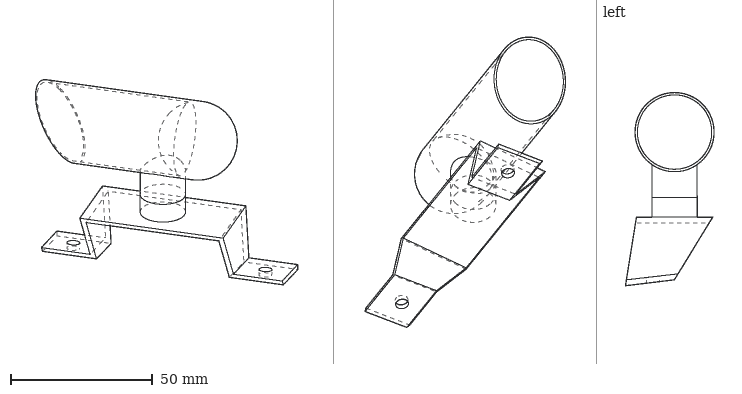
import cadquery as cq
import math


span = 89.0
foot_length = 20.0
sheet = 2.0
plate_depth = 27.0
foot_drop = 20.0
foot_front_y = -1.3
foot_back_y = 17.4
bracket_height = 24.25
foot_tilt = 6.6
foot_thickness = 2.0
hole_diameter = 4.5
hole_y = 7.8

post_diameter = 16.0
post_height = 16.0
joint_z = 7.0

tube_diameter = 28.0
bore_diameter = 26.2
tip_x = -46.0
ball_x = 12.9
mouth_angle = 30

half_span = span / 2
leg_inner_x = half_span - foot_length
leg_outer_x = leg_inner_x + sheet
plate_half = plate_depth / 2
hole_x = (leg_outer_x + half_span) / 2
foot_slope = math.tan(math.radians(foot_tilt))
tube_radius = tube_diameter / 2
tube_z = post_height + tube_radius


def foot_top_z(y):
    """Height of the sloping top face of a foot."""
    return -foot_drop - foot_slope * (y - foot_front_y)


def make_side_body():
    """Solid with the bracket's side outline, running over the full span."""
    foot_depth_z = foot_thickness / math.cos(math.radians(foot_tilt))
    front_lean = (plate_half + foot_front_y) / foot_drop
    back_bottom = (foot_back_y, -bracket_height)
    bottom_rise = foot_depth_z / (1 - foot_slope * front_lean)
    front_bottom = (foot_front_y + front_lean * bottom_rise, -foot_drop - bottom_rise)
    outline = [(-plate_half, 0), front_bottom, back_bottom, (plate_half, 0)]
    return cq.Workplane("YZ").polyline(outline).close().extrude(half_span, both=True)


def make_foot_clearance(side):
    """Space above one foot, outside its leg."""
    front, back = -2 * plate_half, 2 * plate_half
    outline = [(front, foot_top_z(front)), (back, foot_top_z(back)), (back, sheet), (front, sheet)]
    return (
        cq.Workplane("YZ", origin=(side * leg_outer_x, 0, 0))
        .polyline(outline).close().extrude(side * foot_length)
    )


def make_foot_hole(side):
    """Cutter square to one foot."""
    length = 4 * foot_thickness
    return (
        cq.Workplane("XY").circle(hole_diameter / 2).extrude(length / 2, both=True)
        .rotate((0, 0, 0), (1, 0, 0), -foot_tilt)
        .translate((side * hole_x, hole_y, foot_top_z(hole_y)))
    )


def make_bracket():
    """Hat-shaped bracket with two tilted feet and the lower post stub."""
    body = make_side_body()
    channel = cq.Workplane("XY", origin=(0, 0, -sheet)).rect(
        2 * leg_inner_x, 4 * plate_half).extrude(-bracket_height)
    body = body.cut(channel)
    for side in (-1, 1):
        body = body.cut(make_foot_clearance(side)).cut(make_foot_hole(side))
    stub = cq.Workplane("XY").circle(post_diameter / 2).extrude(joint_z)
    return body.union(stub)


def make_tube_bar(diameter):
    """Round bar along the tube axis, from beyond the mouth to the ball centre."""
    start_x = tip_x - tube_diameter
    return (
        cq.Workplane("YZ", origin=(start_x, 0, tube_z))
        .circle(diameter / 2).extrude(ball_x - start_x)
    )


def make_mouth_cutter():
    """Wedge that trims the open end of the tube at a slant, top edge foremost."""
    setback = tube_diameter * math.tan(math.radians(mouth_angle))
    top_z, bottom_z = tube_z + tube_radius, tube_z - tube_radius
    far_x = tip_x - tube_diameter
    outline = [(tip_x, top_z), (tip_x + setback, bottom_z), (far_x, bottom_z), (far_x, top_z)]
    return cq.Workplane("XZ").polyline(outline).close().extrude(tube_diameter, both=True)


def make_housing():
    """Slant-mouthed tube closed by a solid ball, with the upper part of the post."""
    post = cq.Workplane("XY", origin=(0, 0, joint_z)).circle(post_diameter / 2).extrude(tube_z - joint_z)
    tube = make_tube_bar(tube_diameter).union(post).cut(make_tube_bar(bore_diameter))
    ball = cq.Workplane("XY").sphere(tube_radius).translate((ball_x, 0, tube_z))
    return tube.cut(make_mouth_cutter()).union(ball)


bracket = make_bracket()
housing = make_housing()

result = cq.Compound.makeCompound([bracket.val(), housing.val()])